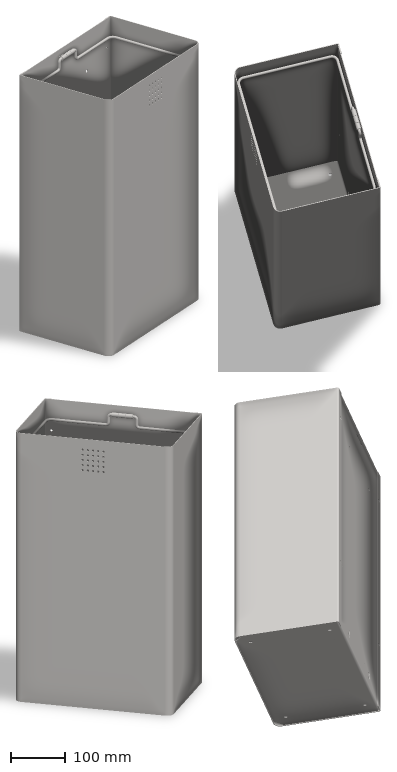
import cadquery as cq
import math

depth = 200.0
width = 300.0
height = 520.0
sheet = 1.3
half_width = width / 2

front_bend = 13.0
back_bend = 3.0
flange_width = 20.0
flange_corner = 2.0
flange_hole_inset = 13.0
flange_hole_levels = (140.0, 459.5)
flange_hole = 6.0
flange_neck = 2.0
flange_neck_margin = 1.5
vent_pitch = 10.0
vent_count = 5
vent_hole = 4.0
vent_level = 479.5

panel_back = sheet
panel_front = panel_back + sheet
floor_bottom = 1.5
floor_bend = 4.0
floor_corner = 15.5
screw_hole = 4.0
mount_hole = 5.5
mount_spacing = 139.5
mount_level = 440.0
keyhole_level = 24.0
keyhole_head = 10.0
keyhole_neck = 5.5
keyhole_rise = 7.0
floor_hole = 6.0
floor_hole_first = 23.5
floor_hole_spacing_x = 150.0
floor_hole_spacing_y = 249.5
slot_length = 40.0
slot_height = 1.5
slot_level = 504.5

wire = 5.0
ring_gap = 2.5
ring_corner = 11.0
ring_level = 482.5
jog_bend = 5.0
jog_half_width = 32.0

knuckle_count = 3
knuckle_gap = 0.5
knuckle_outer = 8.5
hinge_x = panel_front + knuckle_outer / 2
hinge_z = slot_level - slot_height / 2 - sheet / 2


def box(x0, x1, y0, y1, z0, z1):
    return cq.Workplane("XY").box(x1 - x0, y1 - y0, z1 - z0, centered=False).translate((x0, y0, z0))


def back_rod(diameter, y, z, x0, x1):
    """Rod along X, used to pierce a wall that faces X."""
    return cq.Workplane("YZ", origin=(x0, 0, 0)).center(y, z).circle(diameter / 2).extrude(x1 - x0)


def rounded_block(offset, back_radius, front_radius):
    """Full-height block, inset from the outside of the shell."""
    block = box(offset, depth - offset, offset - half_width, half_width - offset, 0, height)
    return block.edges("|Z and <X").fillet(back_radius).edges("|Z and >X").fillet(front_radius)


def make_shell():
    shell = rounded_block(0, back_bend, front_bend)
    shell = shell.cut(rounded_block(sheet, back_bend - sheet, front_bend - sheet))

    opening_half = half_width - flange_width
    flared_half = opening_half + flange_corner
    opening = (
        cq.Workplane("YZ")
        .moveTo(flared_half, 0)
        .lineTo(opening_half, flange_corner)
        .lineTo(opening_half, height - flange_corner)
        .lineTo(flared_half, height)
        .lineTo(-flared_half, height)
        .lineTo(-opening_half, height - flange_corner)
        .lineTo(-opening_half, flange_corner)
        .lineTo(-flared_half, 0)
        .close()
        .extrude(sheet)
    )
    shell = shell.cut(opening)

    hole_y = half_width - flange_hole_inset
    neck_end = opening_half + flange_neck_margin
    for z in flange_hole_levels:
        for side in (-1, 1):
            shell = shell.cut(back_rod(flange_hole, side * hole_y, z, 0, sheet))
        for y0, y1 in ((neck_end, hole_y), (-hole_y, -neck_end)):
            shell = shell.cut(box(0, sheet, y0, y1, z - flange_neck / 2, z + flange_neck / 2))

    vents = (
        cq.Workplane("YZ", origin=(depth - sheet, 0, vent_level))
        .rarray(vent_pitch, vent_pitch, vent_count, vent_count)
        .circle(vent_hole / 2)
        .extrude(sheet)
    )
    return shell.cut(vents)


def make_bent_sheet():
    """L-shaped sheet: upright panel, bend and floor."""
    inner_half = half_width - sheet
    floor_front = depth - sheet
    floor_top = floor_bottom + sheet
    inner_bend = floor_bend - sheet
    bend_x = panel_back + floor_bend
    bend_z = floor_bottom + floor_bend
    diagonal = math.sqrt(0.5)
    profile = (
        cq.Workplane("XZ")
        .moveTo(panel_back, height)
        .lineTo(panel_back, bend_z)
        .threePointArc((bend_x - floor_bend * diagonal, bend_z - floor_bend * diagonal), (bend_x, floor_bottom))
        .lineTo(floor_front, floor_bottom)
        .lineTo(floor_front, floor_top)
        .lineTo(bend_x, floor_top)
        .threePointArc((bend_x - inner_bend * diagonal, bend_z - inner_bend * diagonal), (panel_front, bend_z))
        .lineTo(panel_front, height)
        .close()
    )
    bent = profile.extrude(inner_half, both=True)
    bent = bent.edges("|Z and >X").chamfer(floor_corner)

    panel_half = half_width - back_bend
    for y0, y1 in ((panel_half, half_width), (-half_width, -panel_half)):
        bent = bent.cut(box(0, bend_x, y0, y1, 0, height))
    return bent


def keyhole(y):
    head = back_rod(keyhole_head, y, keyhole_level, panel_back, panel_front)
    neck_end = keyhole_level + keyhole_rise
    neck = box(panel_back, panel_front, y - keyhole_neck / 2, y + keyhole_neck / 2, keyhole_level, neck_end)
    return head.union(neck).union(back_rod(keyhole_neck, y, neck_end, panel_back, panel_front))


def hinge_rod(diameter, y_start, length):
    """Rod along the hinge axis, which runs in Y."""
    return cq.Workplane("XZ", origin=(hinge_x, y_start, hinge_z)).circle(diameter / 2).extrude(-length)


def knuckle(y_start, length):
    """Tube around the wire, joined to the panel by a tongue just below the slot."""
    tube = hinge_rod(knuckle_outer, y_start, length)
    tongue_half = sheet / 2
    tongue = box(panel_front, hinge_x, y_start, y_start + length, hinge_z - tongue_half, hinge_z + tongue_half)
    return tube.union(tongue).cut(hinge_rod(wire, y_start, length))


def make_panel():
    panel = make_bent_sheet()

    for side in (-1, 1):
        mount_y = side * mount_spacing / 2
        panel = panel.cut(back_rod(mount_hole, mount_y, mount_level, panel_back, panel_front))
        panel = panel.cut(keyhole(mount_y))
        for z in flange_hole_levels:
            screw_y = side * (half_width - flange_hole_inset)
            panel = panel.cut(back_rod(screw_hole, screw_y, z, panel_back, panel_front))

    floor_holes = (
        cq.Workplane("XY", origin=(floor_hole_first + floor_hole_spacing_x / 2, 0, floor_bottom))
        .rarray(floor_hole_spacing_x, floor_hole_spacing_y, 2, 2)
        .circle(floor_hole / 2)
        .extrude(sheet)
    )
    panel = panel.cut(floor_holes)

    slot_base = slot_level - slot_height / 2
    slot_half = slot_length / 2
    panel = panel.cut(box(panel_back, panel_front, -slot_half, slot_half, slot_base, slot_base + slot_height))

    knuckle_pitch = (slot_length + knuckle_gap) / knuckle_count
    for index in range(knuckle_count):
        panel = panel.union(knuckle(index * knuckle_pitch - slot_half, knuckle_pitch - knuckle_gap))
    return panel


def make_ring():
    """Round wire swept in a closed loop around the inside of the bin, raised at the hinge."""
    back = hinge_x
    front = depth - sheet - ring_gap - wire / 2
    side = half_width - sheet - ring_gap - wire / 2
    corner_mid = ring_corner * (1 - math.sqrt(0.5))
    jog_mid = jog_bend * (1 - math.sqrt(0.5))
    jog_y = jog_half_width - jog_bend
    pin_half = jog_y - jog_bend

    def level_point(x, y):
        return cq.Vector(x, y, ring_level)

    def back_point(y, z):
        return cq.Vector(back, y, z)

    bends = [
        (
            level_point(back, side - ring_corner),
            level_point(back + corner_mid, side - corner_mid),
            level_point(back + ring_corner, side),
        ),
        (
            level_point(front - ring_corner, side),
            level_point(front - corner_mid, side - corner_mid),
            level_point(front, side - ring_corner),
        ),
        (
            level_point(front, ring_corner - side),
            level_point(front - corner_mid, corner_mid - side),
            level_point(front - ring_corner, -side),
        ),
        (
            level_point(back + ring_corner, -side),
            level_point(back + corner_mid, corner_mid - side),
            level_point(back, ring_corner - side),
        ),
        (
            back_point(-jog_half_width, ring_level),
            back_point(-jog_y - jog_mid, ring_level + jog_mid),
            back_point(-jog_y, ring_level + jog_bend),
        ),
        (
            back_point(-jog_y, hinge_z - jog_bend),
            back_point(-jog_y + jog_mid, hinge_z - jog_mid),
            back_point(-pin_half, hinge_z),
        ),
        (
            back_point(pin_half, hinge_z),
            back_point(jog_y - jog_mid, hinge_z - jog_mid),
            back_point(jog_y, hinge_z - jog_bend),
        ),
        (
            back_point(jog_y, ring_level + jog_bend),
            back_point(jog_y + jog_mid, ring_level + jog_mid),
            back_point(jog_half_width, ring_level),
        ),
    ]
    edges = []
    previous_end = bends[-1][2]
    for start, middle, end in bends:
        edges.append(cq.Edge.makeLine(previous_end, start))
        edges.append(cq.Edge.makeThreePointArc(start, middle, end))
        previous_end = end
    path = cq.Workplane("XY").newObject([cq.Wire.assembleEdges(edges)])
    return (
        cq.Workplane("XZ", origin=(back, jog_half_width, ring_level))
        .circle(wire / 2)
        .sweep(path)
    )


shell = make_shell()
panel = make_panel()
ring = make_ring()

result = cq.Compound.makeCompound([shell.val(), panel.val(), ring.val()])